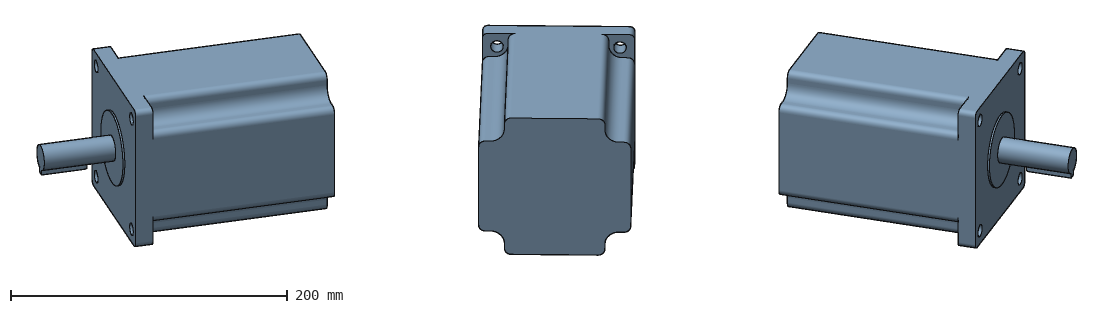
import cadquery as cq
import math

width = 110.0
total_length = 205.4
half = width / 2

flange_thickness = 13.1
flange_corner_radius = 4.0
hole_spacing = 89.0
hole_diameter = 9.0

pilot_diameter = 55.5
pilot_height = 1.5
shaft_diameter = 19.0
shaft_reach = 55.2

key_width = 6.0
key_length = 35.0
key_bottom = 12.7

relief_start = 23.6
lip_radius = 5.0
relief_center = 8.8

body_length = total_length - shaft_reach - flange_thickness
relief_depth = relief_start - lip_radius
cove_radius = relief_depth - relief_center


def cylinder_forward(diameter, length):
    """Cylinder on the Y axis, from the flange face at Y = 0 towards -Y."""
    return cq.Workplane("XZ").circle(diameter / 2).extrude(length)


def make_corner_relief():
    """Cutter for the corner at +X +Z, with a cove between two rounded lips."""
    edge = half - relief_start
    wall = half - relief_depth
    cove_end = half - relief_center
    lip_end = half - lip_radius
    lip_mid = lip_radius * (1 - math.sqrt(0.5))
    cove_mid = cove_end - cove_radius * math.sqrt(0.5)
    return (
        cq.Workplane("XZ", origin=(0, flange_thickness, 0))
        .moveTo(edge, half)
        .threePointArc((wall - lip_mid, half - lip_mid), (wall, lip_end))
        .lineTo(wall, cove_end)
        .threePointArc((cove_mid, cove_mid), (cove_end, wall))
        .lineTo(lip_end, wall)
        .threePointArc((half - lip_mid, wall - lip_mid), (half, edge))
        .lineTo(half, half)
        .close()
        .extrude(-body_length)
    )


def make_body():
    body = (
        cq.Workplane("XZ", origin=(0, flange_thickness, 0))
        .rect(width, width)
        .extrude(-body_length)
    )
    relief = make_corner_relief()
    for angle in (0, 90, 180, 270):
        body = body.cut(relief.rotate((0, 0, 0), (0, 1, 0), angle))
    return body


def make_flange():
    flange = (
        cq.Workplane("XZ")
        .rect(width, width)
        .extrude(-flange_thickness)
        .edges("|Y")
        .fillet(flange_corner_radius)
    )
    holes = (
        cq.Workplane("XZ")
        .rect(hole_spacing, hole_spacing, forConstruction=True)
        .vertices()
        .circle(hole_diameter / 2)
        .extrude(-flange_thickness)
    )
    return flange.cut(holes)


def make_key():
    """Key flush with the shaft tip, with a round inner end."""
    key_radius = key_width / 2
    tip = -shaft_reach
    inner_end = tip + key_length
    return (
        cq.Workplane("XY", origin=(0, 0, -key_bottom))
        .moveTo(-key_radius, tip)
        .lineTo(key_radius, tip)
        .lineTo(key_radius, inner_end - key_radius)
        .threePointArc((0, inner_end), (-key_radius, inner_end - key_radius))
        .close()
        .extrude(key_bottom)
    )


result = (
    make_body()
    .union(make_flange())
    .union(cylinder_forward(pilot_diameter, pilot_height))
    .union(cylinder_forward(shaft_diameter, shaft_reach))
    .union(make_key())
)